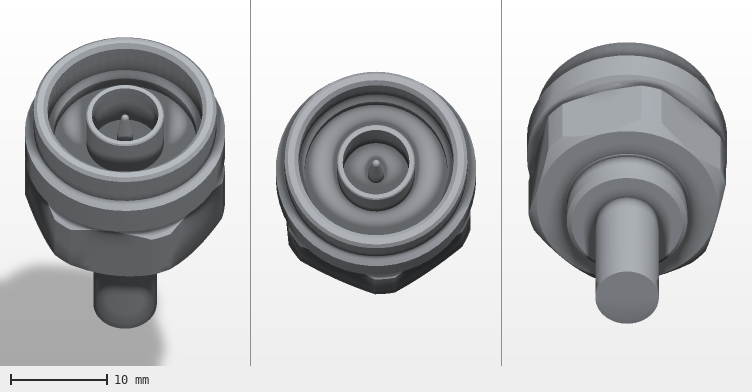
import cadquery as cq
import math

TOTAL_HEIGHT = 33.3

NUT_DIAMETER = 20.8
NUT_RADIUS = NUT_DIAMETER / 2
RIM_RADIUS = 9.5
RIM_CHAMFER = 0.33
CONE_ANGLE = math.radians(30)
CONE_SLOPE = math.tan(CONE_ANGLE)
COLLAR_TOP = 29.25
GROOVE_MIDDLE = 24.78
GROOVE_ARC_RADIUS = 0.6
GROOVE_BOTTOM_RADIUS = 9.4
NUT_BOTTOM = 16.85
NUT_BOTTOM_CHAMFER = 1.03
HEX_SIDES = 6
HEX_ACROSS_FLATS = 2 * RIM_RADIUS
HEX_TOP = GROOVE_MIDDLE

SLEEVE_RADIUS = 6.25
SLEEVE_BOTTOM = 13.52
SLEEVE_CHAMFER = 0.5
SHOULDER_RADIUS = 6.53
SHOULDER_HEIGHT = 0.15
CABLE_RADIUS = 3.3

SOCKET_RADIUS = 8.05
SOCKET_CHAMFER = 0.43
SOCKET_DEPTH = 4.03
SOCKET_FLOOR_RADIUS = 7.43
SOCKET_FLOOR = 27.4

CONTACT_RADIUS = 4.03
CONTACT_BORE_RADIUS = 3.45
CONTACT_TOP = 32.1
CONTACT_CHAMFER = 0.13
CONTACT_FLOOR = 26.8

PIN_RADIUS = 0.83
PIN_TIP_RADIUS = 0.4
PIN_TOP = 31.9
PIN_TAPER_LENGTH = 2.75


def disc(radius, bottom, top):
    """Cylinder about the Z axis between two heights."""
    return cq.Workplane("XY").workplane(offset=bottom).circle(radius).extrude(top - bottom)


def turned(profile):
    """Revolve an XZ half profile about the Z axis."""
    return profile.close().revolve(360, (0, 0, 0), (0, 1, 0))


def nut_blank():
    """Turned outside of the nut, with a round-bottomed V groove under the collar."""
    rim_bottom = COLLAR_TOP + (NUT_RADIUS - RIM_RADIUS) * CONE_SLOPE
    arc_half_height = GROOVE_ARC_RADIUS * math.cos(CONE_ANGLE)
    arc_end_radius = GROOVE_BOTTOM_RADIUS + GROOVE_ARC_RADIUS * (1 - math.sin(CONE_ANGLE))
    groove_half_height = arc_half_height + (NUT_RADIUS - arc_end_radius) * CONE_SLOPE
    return turned(
        cq.Workplane("XZ")
        .moveTo(0, NUT_BOTTOM)
        .lineTo(NUT_RADIUS - NUT_BOTTOM_CHAMFER, NUT_BOTTOM)
        .lineTo(NUT_RADIUS, NUT_BOTTOM + NUT_BOTTOM_CHAMFER)
        .lineTo(NUT_RADIUS, GROOVE_MIDDLE - groove_half_height)
        .lineTo(arc_end_radius, GROOVE_MIDDLE - arc_half_height)
        .threePointArc(
            (GROOVE_BOTTOM_RADIUS, GROOVE_MIDDLE),
            (arc_end_radius, GROOVE_MIDDLE + arc_half_height),
        )
        .lineTo(NUT_RADIUS, GROOVE_MIDDLE + groove_half_height)
        .lineTo(NUT_RADIUS, COLLAR_TOP)
        .lineTo(RIM_RADIUS, rim_bottom)
        .lineTo(RIM_RADIUS, TOTAL_HEIGHT - RIM_CHAMFER)
        .lineTo(RIM_RADIUS - RIM_CHAMFER, TOTAL_HEIGHT)
        .lineTo(0, TOTAL_HEIGHT)
    )


def flat_cutter():
    """Ring outside the hexagon, reaching from the nut's underside to the groove."""
    side_half_angle = 180 / HEX_SIDES
    across_corners = HEX_ACROSS_FLATS / math.cos(math.radians(side_half_angle))
    hexagon = (
        cq.Workplane("XY")
        .workplane(offset=NUT_BOTTOM)
        .transformed(rotate=(0, 0, side_half_angle))
        .polygon(HEX_SIDES, across_corners)
        .extrude(HEX_TOP - NUT_BOTTOM)
    )
    return disc(across_corners, NUT_BOTTOM, HEX_TOP).cut(hexagon)


def socket():
    """Stepped recess in the front of the nut."""
    ledge_top = TOTAL_HEIGHT - SOCKET_DEPTH
    ledge_bottom = ledge_top - (SOCKET_RADIUS - SOCKET_FLOOR_RADIUS)
    return turned(
        cq.Workplane("XZ")
        .moveTo(0, SOCKET_FLOOR)
        .lineTo(SOCKET_FLOOR_RADIUS, SOCKET_FLOOR)
        .lineTo(SOCKET_FLOOR_RADIUS, ledge_bottom)
        .lineTo(SOCKET_RADIUS, ledge_top)
        .lineTo(SOCKET_RADIUS, TOTAL_HEIGHT - SOCKET_CHAMFER)
        .lineTo(SOCKET_RADIUS + SOCKET_CHAMFER, TOTAL_HEIGHT)
        .lineTo(0, TOTAL_HEIGHT)
    )


def outer_contact():
    """Solid blank of the tube that rises from the socket floor."""
    return disc(CONTACT_RADIUS, CONTACT_FLOOR, CONTACT_TOP).faces(">Z").chamfer(CONTACT_CHAMFER)


def centre_pin():
    """Tapered pin with a domed tip."""
    taper_top = PIN_TOP - PIN_TIP_RADIUS
    dome_middle = PIN_TIP_RADIUS * math.sqrt(0.5)
    return turned(
        cq.Workplane("XZ")
        .moveTo(0, CONTACT_FLOOR)
        .lineTo(PIN_RADIUS, CONTACT_FLOOR)
        .lineTo(PIN_RADIUS, taper_top - PIN_TAPER_LENGTH)
        .lineTo(PIN_TIP_RADIUS, taper_top)
        .threePointArc((dome_middle, taper_top + dome_middle), (0, PIN_TOP))
    )


def rear_sleeve():
    """Chamfered sleeve under the nut with a thin round shoulder at its root."""
    sleeve = disc(SLEEVE_RADIUS, SLEEVE_BOTTOM, NUT_BOTTOM).faces("<Z").chamfer(SLEEVE_CHAMFER)
    shoulder = disc(SHOULDER_RADIUS, NUT_BOTTOM - SHOULDER_HEIGHT, NUT_BOTTOM)
    return sleeve.union(shoulder)


contact_bore = disc(CONTACT_BORE_RADIUS, CONTACT_FLOOR, CONTACT_TOP)
cable = disc(CABLE_RADIUS, 0, SLEEVE_BOTTOM)

nut = nut_blank().cut(flat_cutter()).cut(socket())
front = nut.union(outer_contact()).cut(contact_bore).union(centre_pin())
result = front.union(rear_sleeve()).union(cable)